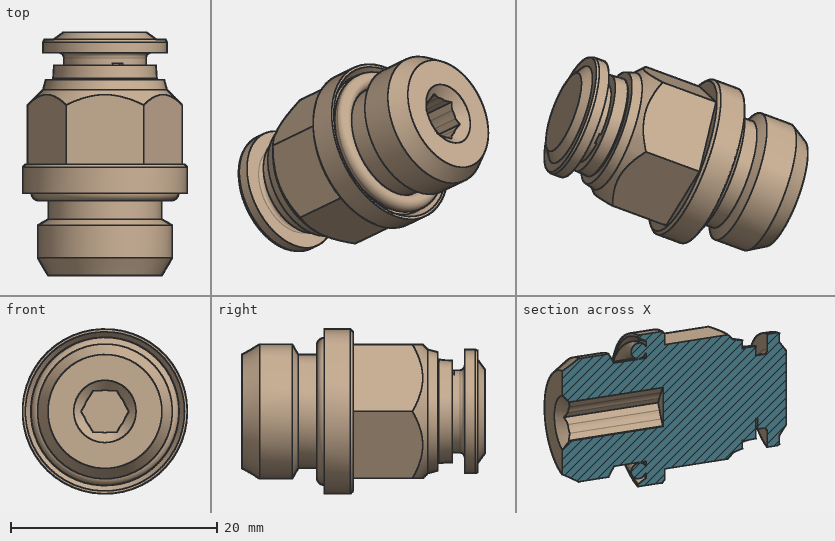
import cadquery as cq
import math

LENGTH = 23.6

THREAD_R = 6.54
SPIGOT_R = 5.52
END_CHAMFER_Y = 1.72
THREAD_END_Y = 4.89
RELIEF_Y = 5.48

FLANGE_R = 8.0
FLANGE_Y = 7.98
FLANGE_TOP_Y = 10.8
FLANGE_CHAMFER = 0.28
GROOVE_LIP = 0.28
GROOVE_DEPTH = 0.83
GROOVE_TAPER = 0.52
SEAL_Y = 7.25
SEAL_SECTION_R = 0.83

HEX_FLATS = 13.0
SHOULDER_R = 6.02
SHOULDER_Y = 18.03
SHOULDER_TOP_R = 5.75
SHOULDER_TOP_Y = 19.0

GUIDE_Y = 19.12
GUIDE_TOP_Y = 20.41
GUIDE_R = 5.05
GUIDE_TOP_R = 4.95
GUIDE_GROOVE_R = 4.9

NECK_R = 4.01
NECK_FILLET = 0.45
NOTCH_WIDTH = 1.01
NOTCH_HEIGHT = 0.17
NOTCH_DEPTH = 1.06
NOTCH_TILT = 18.0
COLLAR_Y = 21.6
COLLAR_R = 6.02
COLLAR_EDGE_Y = 22.63
COLLAR_TOP_Y = 22.9
COLLAR_EDGE = 0.12
NOSE_BASE_R = 5.0
NOSE_R = 4.04

SOCKET_FLATS = 4.01
SOCKET_DEPTH = 10.62
PILOT_R = 2.05
COUNTERSINK_R = 3.02
COUNTERSINK_FLOOR_R = SOCKET_FLATS / 2
COUNTERSINK_DEPTH = COUNTERSINK_R - COUNTERSINK_FLOOR_R


def revolve(profile):
    """Turn a closed (radius, Y) outline around the Y axis."""
    return profile.close().revolve(360, (0, 0, 0), (0, 1, 0))


def hex_prism(across_flats, start_y, end_y):
    """Hexagonal prism along Y with two corners on the X axis."""
    corner_diameter = across_flats / math.cos(math.pi / 6)
    plane = cq.Workplane(cq.Plane((0, start_y, 0), xDir=(1, 0, 0), normal=(0, 1, 0)))
    return plane.polygon(6, corner_diameter).extrude(end_y - start_y)


def make_spigot():
    return revolve(
        cq.Workplane("XY")
        .moveTo(0, 0)
        .lineTo(SPIGOT_R, 0)
        .lineTo(THREAD_R, END_CHAMFER_Y)
        .lineTo(THREAD_R, THREAD_END_Y)
        .lineTo(SPIGOT_R, RELIEF_Y)
        .lineTo(SPIGOT_R, FLANGE_TOP_Y)
        .lineTo(0, FLANGE_TOP_Y)
    )


def make_flange():
    """Flange whose lower face is hollowed by a tapered seal groove."""
    groove_r = FLANGE_R - GROOVE_LIP
    groove_floor_y = FLANGE_Y + GROOVE_DEPTH
    return revolve(
        cq.Workplane("XY")
        .moveTo(0, groove_floor_y)
        .lineTo(groove_r - GROOVE_TAPER, groove_floor_y)
        .lineTo(groove_r, FLANGE_Y)
        .lineTo(FLANGE_R, FLANGE_Y)
        .lineTo(FLANGE_R, FLANGE_TOP_Y - FLANGE_CHAMFER)
        .lineTo(FLANGE_R - FLANGE_CHAMFER, FLANGE_TOP_Y)
        .lineTo(0, FLANGE_TOP_Y)
    )


def make_seal():
    """O-ring seated around the spigot and in the flange groove."""
    ring_r = SPIGOT_R + SEAL_SECTION_R
    section = cq.Workplane("XY").center(ring_r, SEAL_Y + SEAL_SECTION_R).circle(SEAL_SECTION_R)
    return section.revolve(360, (-ring_r, 0, 0), (-ring_r, 1, 0))


def make_body():
    """Hexagonal body; a 45 degree cone trims its corners."""
    prism = hex_prism(HEX_FLATS, FLANGE_TOP_Y, SHOULDER_TOP_Y)
    cone_height = SHOULDER_Y - FLANGE_TOP_Y
    envelope = revolve(
        cq.Workplane("XY")
        .moveTo(0, FLANGE_TOP_Y)
        .lineTo(SHOULDER_R + cone_height, FLANGE_TOP_Y)
        .lineTo(SHOULDER_R, SHOULDER_Y)
        .lineTo(SHOULDER_TOP_R, SHOULDER_TOP_Y)
        .lineTo(0, SHOULDER_TOP_Y)
    )
    return prism.intersect(envelope)


def make_collar():
    """Guide ring, neck and release collar."""
    return revolve(
        cq.Workplane("XY")
        .moveTo(0, SHOULDER_TOP_Y)
        .lineTo(GUIDE_GROOVE_R, SHOULDER_TOP_Y)
        .lineTo(GUIDE_GROOVE_R, GUIDE_Y)
        .lineTo(GUIDE_R, GUIDE_Y)
        .lineTo(GUIDE_TOP_R, GUIDE_TOP_Y)
        .lineTo(NECK_R, GUIDE_TOP_Y)
        .lineTo(NECK_R, COLLAR_Y - NECK_FILLET)
        .radiusArc((NECK_R + NECK_FILLET, COLLAR_Y), NECK_FILLET)
        .lineTo(COLLAR_R, COLLAR_Y)
        .lineTo(COLLAR_R, COLLAR_EDGE_Y)
        .lineTo(COLLAR_R - COLLAR_EDGE, COLLAR_TOP_Y)
        .lineTo(NOSE_BASE_R, COLLAR_TOP_Y)
        .lineTo(NOSE_R, LENGTH)
        .lineTo(0, LENGTH)
    )


def make_notches():
    """Two opposite notches at the foot of the neck."""
    notches = cq.Workplane("XY")
    for turn in (0, 180):
        notch = (
            cq.Workplane("XY")
            .box(NOTCH_WIDTH, NOTCH_HEIGHT, NOTCH_DEPTH, centered=(True, False, False))
            .translate((0, GUIDE_TOP_Y, NECK_R - NOTCH_DEPTH))
            .rotate((0, 0, 0), (0, 1, 0), NOTCH_TILT + turn)
        )
        notches = notches.add(notch)
    return notches.combine()


def make_socket():
    """Blind hexagonal key socket, its flats grazed by a pilot bore, with a 45 degree countersink."""
    countersink = revolve(
        cq.Workplane("XY")
        .moveTo(0, 0)
        .lineTo(COUNTERSINK_R, 0)
        .lineTo(COUNTERSINK_FLOOR_R, COUNTERSINK_DEPTH)
        .lineTo(0, COUNTERSINK_DEPTH)
    )
    pilot = revolve(
        cq.Workplane("XY")
        .moveTo(0, 0)
        .lineTo(PILOT_R, 0)
        .lineTo(PILOT_R, SOCKET_DEPTH)
        .lineTo(0, SOCKET_DEPTH)
    )
    return hex_prism(SOCKET_FLATS, 0, SOCKET_DEPTH).union(pilot).union(countersink)


result = (
    make_spigot()
    .union(make_flange())
    .union(make_seal())
    .union(make_body())
    .union(make_collar())
    .cut(make_notches())
    .cut(make_socket())
)